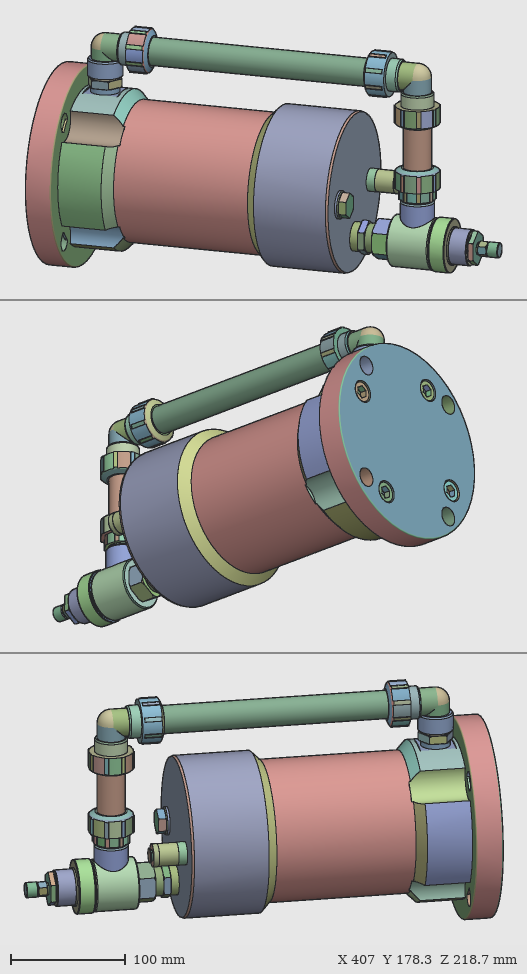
import cadquery as cq
import math

overall_length = 407.0

flange_dia = 178.32
flange_thickness = 24.0
flange_edge_radius = 1.0
mount_hole_count = 4
mount_hole_dia = 17.0
mount_hole_circle_dia = 152.0
mount_hole_start_angle = 45.0

screw_count = 4
screw_circle_dia = 128.8
screw_start_angle = 25.0
screw_counterbore_dia = 20.0
screw_head_dia = 18.0
screw_counterbore_depth = 13.0
screw_head_recess = 1.0
screw_socket_across_flats = 10.0
screw_socket_depth = 6.0
screw_socket_tip_depth = 2.0

collar_dia = 142.5
barrel_dia = 125.5
collar_end_x = 64.0
cap_start_x = 204.5
cap_end_x = 273.0
cap_bevel_length = 2.2
cap_bevel_depth = 0.8
body_taper = (collar_dia - barrel_dia) / 2

scallop_radius = 17.0
scallop_end_x = 74.0

pipe_z = 110.0
inlet_x = 43.1
outlet_x = 331.0
valve_z = -40.0
pipe_dia = 25.0
elbow_dia = 24.69
socket_dia = 29.0
socket_lip = 1.5
socket_lip_drop = 1.0

nut_dia = 39.0
nut_rib_count = 8
nut_rib_width = 3.8
nut_rib_height = 0.8
nut_body_length = 15.0
nut_shoulder_length = 16.5
nut_length = 18.5
nut_shoulder_dia = 37.0
nut_nose_dia = 28.0
nut_rim_length = 2.0

inlet_flat_z = 69.8
inlet_flat_length = 32.0
fitting_neck_dia = 26.0
fitting_hex_across_flats = 27.0
fitting_hex_bevel = 0.8
inlet_hex_bottom_z = 74.7
inlet_hex_top_z = 82.2
inlet_socket_bottom_z = 84.5
inlet_socket_top_z = 100.0
inlet_socket_dia = 31.2

run_socket_start_x = 58.3
run_first_nut_x = 68.6
run_last_nut_x = 306.6
run_socket_end_x = 317.0

drop_socket_top_z = 96.7
drop_upper_nut_z = 84.4
drop_lower_nut_z = 9.8
tail_nut_bottom_z = 0.0
tail_nut_dia = 31.5
tee_groove_dia = 26.0
tee_branch_top_z = -1.8
tee_branch_dia = 30.0
tee_branch_lip_dia = 28.0

valve_nut_start_x = 280.2
valve_nut_end_x = 286.6
adapter_start_x = 294.2
adapter_across_flats = 32.0
adapter_bevel = 1.4
tee_start_x = 309.7
tee_end_x = 348.0
tee_dia = 46.0
tee_bevel = 1.0
tee_ring_groove_dia = 44.0
tee_ring_start_x = 349.0
tee_ring_end_x = 363.6
tee_ring_dia = 48.0
tee_ring_bevel = 0.8
bonnet_shoulder_end_x = 365.0
bonnet_shoulder_dia = 34.0
bonnet_end_x = 381.2
bonnet_dia = 32.0
bonnet_bevel = 0.6
bonnet_neck_dia = 25.0
bonnet_hex_start_x = 382.2
bonnet_hex_end_x = 387.0
bonnet_hex_across_flats = 27.0
bonnet_hex_bevel = 0.6
spindle_dia = 11.0
spindle_hex_start_x = 388.4
spindle_hex_end_x = 396.2
spindle_hex_across_flats = 12.0
spindle_hex_bevel = 0.8
spindle_groove_dia = 10.11
knob_start_x = 397.2
knob_dia = 13.5
knob_bevel = 0.6

end_fitting_offset_y = 41.0
plug_washer_end_x = 276.0
plug_washer_dia = 25.0
plug_washer_bevel = 1.0
plug_hex_end_x = 282.8
plug_hex_across_flats = 20.0
plug_hex_bevel = 0.5
connector_body_end_x = 302.7
connector_dia = 20.4
connector_waist_dia = 20.0
connector_waist_start_x = 280.6
connector_waist_end_x = 297.8
connector_neck_dia = 10.11
connector_disc_start_x = 304.2
connector_disc_end_x = 305.2
connector_disc_dia = 13.0

hexagon_sides = 6

overlap = 2.0


def turned_along_x(profile):
    """Solid of revolution about the X axis from (x, diameter) corners."""
    corners = [(x, diameter / 2) for x, diameter in profile]
    outline = [(corners[0][0], 0.0)] + corners + [(corners[-1][0], 0.0)]
    return cq.Workplane("XY").polyline(outline).close().revolve(360, (0, 0), (1, 0))


def upright(solid, x):
    """Turn a solid built along the X axis so that its +X becomes +Z, standing at x."""
    return solid.rotate((0, 0, 0), (0, 1, 0), -90).translate((x, 0, 0))


def hexagon_along_x(across_flats, start_x, end_x, bevel=0.0):
    """Hexagonal bar about the X axis, corners at +Z and -Z, with its end corners turned off."""
    corner_dia = across_flats / math.cos(math.pi / hexagon_sides)
    hexagon = cq.Workplane("YZ").polygon(hexagon_sides, corner_dia).extrude(end_x - start_x)
    hexagon = hexagon.rotate((0, 0, 0), (1, 0, 0), 180 / hexagon_sides).translate((start_x, 0, 0))
    if bevel == 0:
        return hexagon
    face_dia = corner_dia - 2 * bevel
    envelope = turned_along_x([
        (start_x, face_dia),
        (start_x + bevel, corner_dia),
        (end_x - bevel, corner_dia),
        (end_x, face_dia),
    ])
    return hexagon.intersect(envelope)


def ribbed_barrel(diameter, start_x, end_x, rim_length=0.0):
    """Round barrel about the X axis with grip ribs, left plain over the starting rim."""
    rib_length = end_x - start_x - rim_length
    outer_radius = diameter / 2 + nut_rib_height
    barrel = turned_along_x([(start_x, diameter), (end_x, diameter)])
    rib_pitch = 360 / nut_rib_count
    rib = cq.Workplane("XY").box(rib_length, nut_rib_width, outer_radius, centered=(False, True, False))
    rib = rib.translate((start_x + rim_length, 0, 0))
    for i in range(nut_rib_count):
        barrel = barrel.union(rib.rotate((0, 0, 0), (1, 0, 0), (i + 0.5) * rib_pitch))
    return barrel


def union_nut(rim_length=0.0):
    """Ribbed nut on the X axis: plain rim (if any) at x = 0 and tapered nose toward +X."""
    shoulder_x = rim_length + nut_shoulder_length
    nose_x = rim_length + nut_length
    envelope = turned_along_x([
        (0, nut_dia + 2 * nut_rib_height),
        (rim_length + nut_body_length, nut_dia + 2 * nut_rib_height),
        (shoulder_x, nut_shoulder_dia),
        (nose_x, nut_nose_dia),
    ])
    return ribbed_barrel(nut_dia, 0, nose_x, rim_length).intersect(envelope)


def polar_points(count, circle_dia, start_angle):
    """Evenly spaced (y, z) points on a circle about the motor axis."""
    angles = [math.radians(start_angle + 360 / count * i) for i in range(count)]
    return [(circle_dia / 2 * math.cos(a), circle_dia / 2 * math.sin(a)) for a in angles]


mount_points = polar_points(mount_hole_count, mount_hole_circle_dia, mount_hole_start_angle)
screw_points = polar_points(screw_count, screw_circle_dia, screw_start_angle)


def make_flange():
    flange = cq.Workplane("YZ").circle(flange_dia / 2).extrude(flange_thickness)
    flange = flange.edges().fillet(flange_edge_radius)
    holes = cq.Workplane("YZ").pushPoints(mount_points).circle(mount_hole_dia / 2)
    return flange.cut(holes.extrude(flange_thickness))


def make_screw_recess():
    """Material missing around and inside one socket head screw on the X axis."""
    counterbore = cq.Workplane("YZ").circle(screw_counterbore_dia / 2).extrude(screw_counterbore_depth)
    head_length = screw_counterbore_depth - screw_head_recess
    head = cq.Workplane("YZ", origin=(screw_head_recess, 0, 0)).circle(screw_head_dia / 2)
    socket_floor_x = screw_head_recess + screw_socket_depth
    socket = hexagon_along_x(screw_socket_across_flats, screw_head_recess, socket_floor_x)
    tip = cq.Workplane(cq.Solid.makeCone(
        screw_socket_across_flats / 2,
        0,
        screw_socket_tip_depth,
        cq.Vector(socket_floor_x, 0, 0),
        cq.Vector(1, 0, 0),
    ))
    return counterbore.cut(head.extrude(head_length)).union(socket).union(tip)


def make_body():
    body = turned_along_x([
        (flange_thickness - overlap, collar_dia),
        (collar_end_x, collar_dia),
        (collar_end_x + body_taper, barrel_dia),
        (cap_start_x - body_taper, barrel_dia),
        (cap_start_x, collar_dia),
        (cap_end_x - cap_bevel_length, collar_dia),
        (cap_end_x, collar_dia - 2 * cap_bevel_depth),
    ])
    scallops = cq.Workplane("YZ", origin=(flange_thickness, 0, 0)).pushPoints(mount_points)
    body = body.cut(scallops.circle(scallop_radius).extrude(scallop_end_x - flange_thickness))
    flat_depth = collar_dia / 2 - inlet_flat_z
    flat = cq.Workplane("XY").box(inlet_flat_length, collar_dia, flat_depth, centered=(True, True, False))
    return body.cut(flat.translate((inlet_x, 0, inlet_flat_z)))


def make_inlet_fitting():
    fitting = turned_along_x([
        (inlet_flat_z - overlap, fitting_neck_dia),
        (inlet_socket_bottom_z, fitting_neck_dia),
        (inlet_socket_bottom_z, inlet_socket_dia),
        (inlet_socket_top_z - socket_lip, inlet_socket_dia),
        (inlet_socket_top_z, inlet_socket_dia - 2 * socket_lip_drop),
        (inlet_socket_top_z, elbow_dia),
        (pipe_z, elbow_dia),
    ])
    hexagon = hexagon_along_x(
        fitting_hex_across_flats, inlet_hex_bottom_z, inlet_hex_top_z, fitting_hex_bevel
    )
    return upright(fitting, inlet_x).union(upright(hexagon, inlet_x))


def make_elbow_ball(x):
    return cq.Workplane("XY").sphere(elbow_dia / 2).translate((x, 0, pipe_z))


def make_horizontal_run():
    pipe = turned_along_x([
        (inlet_x, elbow_dia),
        (run_socket_start_x, elbow_dia),
        (run_socket_start_x, socket_dia - 2 * socket_lip_drop),
        (run_socket_start_x + socket_lip, socket_dia),
        (run_first_nut_x + overlap, socket_dia),
        (run_first_nut_x + overlap, pipe_dia),
        (run_last_nut_x - overlap, pipe_dia),
        (run_last_nut_x - overlap, socket_dia),
        (run_socket_end_x - socket_lip, socket_dia),
        (run_socket_end_x, socket_dia - 2 * socket_lip_drop),
        (run_socket_end_x, elbow_dia),
        (outlet_x, elbow_dia),
    ])
    first_nut = union_nut().translate((run_first_nut_x, 0, 0))
    last_nut = union_nut(nut_rim_length).rotate((0, 0, 0), (0, 0, 1), 180).translate((run_last_nut_x, 0, 0))
    return pipe.union(first_nut).union(last_nut).translate((0, 0, pipe_z))


def make_vertical_run():
    pipe = turned_along_x([
        (valve_z, tee_branch_dia),
        (tee_branch_top_z - socket_lip, tee_branch_dia),
        (tee_branch_top_z, tee_branch_lip_dia),
        (tee_branch_top_z, tee_groove_dia),
        (drop_lower_nut_z, tee_groove_dia),
        (drop_lower_nut_z, pipe_dia),
        (drop_upper_nut_z - overlap, pipe_dia),
        (drop_upper_nut_z - overlap, socket_dia),
        (drop_socket_top_z - socket_lip, socket_dia),
        (drop_socket_top_z, socket_dia - 2 * socket_lip_drop),
        (drop_socket_top_z, elbow_dia),
        (pipe_z, elbow_dia),
    ])
    upper_nut = union_nut().rotate((0, 0, 0), (0, 0, 1), 180).translate((drop_upper_nut_z, 0, 0))
    lower_nut = union_nut().translate((drop_lower_nut_z, 0, 0))
    tail_nut = ribbed_barrel(tail_nut_dia, tail_nut_bottom_z, drop_lower_nut_z)
    run = pipe.union(upper_nut).union(lower_nut).union(tail_nut)
    return upright(run, outlet_x)


def make_valve_line():
    line = turned_along_x([
        (cap_end_x - overlap, fitting_neck_dia),
        (tee_start_x, fitting_neck_dia),
        (tee_start_x, tee_dia - 2 * tee_bevel),
        (tee_start_x + tee_bevel, tee_dia),
        (tee_end_x - tee_bevel, tee_dia),
        (tee_end_x, tee_dia - tee_bevel),
        (tee_end_x, tee_ring_groove_dia),
        (tee_ring_start_x, tee_ring_groove_dia),
        (tee_ring_start_x, tee_ring_dia - tee_ring_bevel),
        (tee_ring_start_x + tee_ring_bevel, tee_ring_dia),
        (tee_ring_end_x - tee_ring_bevel, tee_ring_dia),
        (tee_ring_end_x, tee_ring_dia - tee_ring_bevel),
        (tee_ring_end_x, bonnet_shoulder_dia),
        (bonnet_shoulder_end_x, bonnet_shoulder_dia),
        (bonnet_shoulder_end_x, bonnet_dia),
        (bonnet_end_x - bonnet_bevel, bonnet_dia),
        (bonnet_end_x, bonnet_dia - 2 * bonnet_bevel),
        (bonnet_end_x, bonnet_neck_dia),
        (bonnet_hex_start_x, bonnet_neck_dia),
        (bonnet_hex_start_x, spindle_dia),
        (spindle_hex_start_x, spindle_dia),
        (spindle_hex_start_x, spindle_groove_dia),
        (knob_start_x, spindle_groove_dia),
        (knob_start_x, knob_dia),
        (overall_length - knob_bevel, knob_dia),
        (overall_length, knob_dia - 2 * knob_bevel),
    ])
    hexagons = [
        (fitting_hex_across_flats, valve_nut_start_x, valve_nut_end_x, fitting_hex_bevel),
        (adapter_across_flats, adapter_start_x, tee_start_x, adapter_bevel),
        (bonnet_hex_across_flats, bonnet_hex_start_x, bonnet_hex_end_x, bonnet_hex_bevel),
        (spindle_hex_across_flats, spindle_hex_start_x, spindle_hex_end_x, spindle_hex_bevel),
    ]
    for across_flats, start_x, end_x, bevel in hexagons:
        line = line.union(hexagon_along_x(across_flats, start_x, end_x, bevel))
    return line.translate((0, 0, valve_z))


def make_plug():
    washer = turned_along_x([
        (cap_end_x - overlap, plug_washer_dia),
        (plug_washer_end_x - plug_washer_bevel, plug_washer_dia),
        (plug_washer_end_x, plug_washer_dia - 2 * plug_washer_bevel),
    ])
    head = hexagon_along_x(plug_hex_across_flats, plug_washer_end_x, plug_hex_end_x, plug_hex_bevel)
    return washer.union(head).translate((0, -end_fitting_offset_y, 0))


def make_connector():
    connector = turned_along_x([
        (cap_end_x - overlap, connector_dia),
        (connector_waist_start_x, connector_dia),
        (connector_waist_start_x, connector_waist_dia),
        (connector_waist_end_x, connector_waist_dia),
        (connector_waist_end_x, connector_dia),
        (connector_body_end_x, connector_dia),
        (connector_body_end_x, connector_neck_dia),
        (connector_disc_start_x, connector_neck_dia),
        (connector_disc_start_x, connector_disc_dia),
        (connector_disc_end_x, connector_disc_dia),
    ])
    return connector.translate((0, end_fitting_offset_y, 0))


result = make_flange().union(make_body())
for screw_y, screw_z in screw_points:
    result = result.cut(make_screw_recess().translate((0, screw_y, screw_z)))
for fitting in (
    make_inlet_fitting(),
    make_elbow_ball(inlet_x),
    make_horizontal_run(),
    make_elbow_ball(outlet_x),
    make_vertical_run(),
    make_valve_line(),
    make_plug(),
    make_connector(),
):
    result = result.union(fitting)